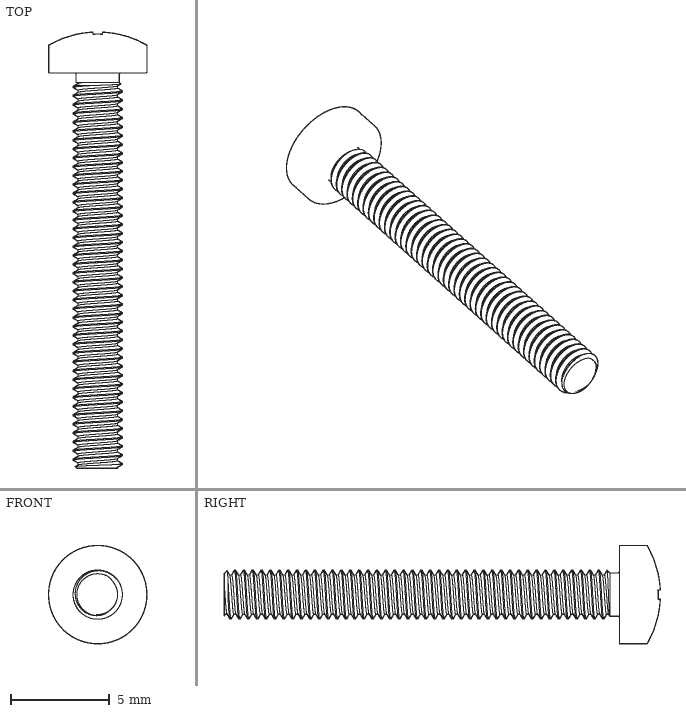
import cadquery as cq
import math


overall_length = 22.08
major_diameter = 2.5
head_height = 2.08
head_rim_height = 1.41
neck_length = 0.49
rim_fillet = 0.05
neck_fillet = 0.07
recess_width = 0.46
recess_length = 2.08
recess_depth = 1.1
tip_diameter = 2.12

pitch_per_diameter = 0.18
sharp_height_per_pitch = math.sqrt(3) / 2
thread_depth_per_pitch = 5 / 8 * sharp_height_per_pitch
crest_width_per_pitch = 1 / 8
root_width_per_pitch = 1 / 4
pitch_line_drop_per_pitch = 3 / 8 * sharp_height_per_pitch

head_radius = major_diameter
recess_corner_radius = recess_width / math.sqrt(2)
shank_length = overall_length - head_height
pitch = pitch_per_diameter * major_diameter
major_radius = major_diameter / 2
root_radius = major_radius - thread_depth_per_pitch * pitch
neck_radius = major_radius - pitch_line_drop_per_pitch * pitch
tip_radius = tip_diameter / 2
thread_length = shank_length - neck_length

thread_start_angle = 230.0
spare_turns = 2
trim_clearance = 0.1


def revolve_about_y(profile):
    """Close a half profile along the Y axis and revolve it into a solid."""
    return profile.close().revolve(360, (0, 0, 0), (0, 1, 0))


def make_head():
    """Cylindrical rim topped by a shallow spherical dome."""
    rise = head_height - head_rim_height
    dome_center = (head_height + head_rim_height) / 2
    dome_center -= (head_radius**2 - recess_corner_radius**2) / (2 * rise)
    dome_radius = math.hypot(head_radius, head_rim_height - dome_center)
    mid_angle = math.asin(head_radius / dome_radius) / 2
    dome_mid = (
        dome_radius * math.sin(mid_angle),
        dome_center + dome_radius * math.cos(mid_angle),
    )
    dome_apex = (0, dome_center + dome_radius)
    profile = (
        cq.Workplane("XY")
        .lineTo(head_radius, 0)
        .lineTo(head_radius, head_rim_height)
        .threePointArc(dome_mid, dome_apex)
    )
    return revolve_about_y(profile).edges("%CIRCLE").fillet(rim_fillet)


def make_recess():
    """Two crossed slots sunk into the dome."""
    slot = cq.Workplane("XY").box(recess_length, 2 * recess_depth, recess_width)
    slot = slot.translate((0, head_height, 0))
    return slot.union(slot.rotate((0, 0, 0), (0, 1, 0), 90))


def make_neck():
    """Plain shank between the head and the thread, flared into the head underside."""
    profile = (
        cq.Workplane("XY")
        .lineTo(neck_radius + neck_fillet, 0)
        .radiusArc((neck_radius, -neck_fillet), -neck_fillet)
        .lineTo(neck_radius, -neck_length)
        .lineTo(0, -neck_length)
    )
    return revolve_about_y(profile)


def make_thread_envelope():
    """Blank that trims the rod, coned at the neck and at the tip."""
    clear_radius = major_radius + trim_clearance
    profile = (
        cq.Workplane("XY")
        .moveTo(0, -neck_length)
        .lineTo(neck_radius, -neck_length)
        .lineTo(clear_radius, -neck_length - (clear_radius - neck_radius))
        .lineTo(clear_radius, -shank_length + (clear_radius - tip_radius))
        .lineTo(tip_radius, -shank_length)
        .lineTo(0, -shank_length)
    )
    return revolve_about_y(profile)


def make_threaded_rod():
    """Right-hand threaded rod, skinned turn by turn along +Z and then laid along -Y."""
    turns = math.ceil(thread_length / pitch) + spare_turns
    end_height = turns * pitch
    root_width = root_width_per_pitch * pitch
    crest_width = crest_width_per_pitch * pitch
    flank_width = (pitch - root_width - crest_width) / 2
    corners = [
        (root_radius, 0),
        (root_radius, root_width),
        (major_radius, root_width + flank_width),
        (major_radius, root_width + flank_width + crest_width),
        (root_radius, pitch),
    ]

    def helix_turn(radius, height):
        turn = cq.Wire.makeHelix(pitch, pitch, radius)
        return turn.translate(cq.Vector(0, 0, height)).Edges()[0]

    def helical_end(height):
        axis_edge = cq.Edge.makeLine(cq.Vector(0, 0, height), cq.Vector(0, 0, height + pitch))
        return cq.Face.makeRuledSurface(axis_edge, helix_turn(root_radius, height))

    def radial_step(height):
        outline = [(0, 0), *corners, (0, pitch)]
        points = [cq.Vector(radius, 0, height + rise) for radius, rise in outline]
        return cq.Face.makeFromWires(cq.Wire.makePolygon(points, close=True))

    faces = []
    for height in (0, end_height):
        faces.append(helical_end(height))
        faces.append(radial_step(height))
    for turn in range(turns):
        edges = [helix_turn(radius, turn * pitch + rise) for radius, rise in corners]
        for lower, upper in zip(edges, edges[1:]):
            faces.append(cq.Face.makeRuledSurface(lower, upper))
    rod = cq.Workplane(obj=cq.Solid.makeSolid(cq.Shell.makeShell(faces)))
    return (
        rod.rotate((0, 0, 0), (0, 0, 1), thread_start_angle)
        .rotate((0, 0, 0), (1, 0, 0), 90)
        .translate((0, pitch - neck_length, 0))
    )


thread = make_threaded_rod().intersect(make_thread_envelope())
result = make_head().cut(make_recess()).union(make_neck()).union(thread)